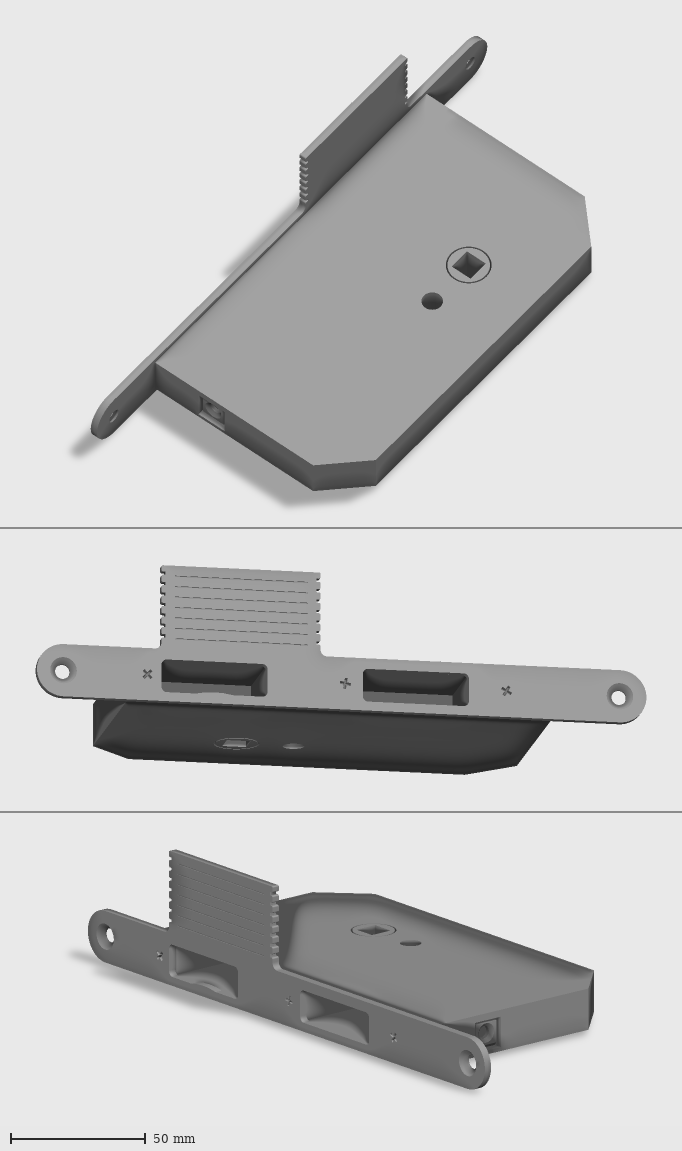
import cadquery as cq
import math


plate_thickness = 3.0
plate_length = 230.0
plate_width = 20.0
mount_hole_y = 105.0
mount_hole_diameter = 5.5
mount_sink_diameter = 10.0

tab_length = 60.0
tab_top_z = 42.0
tab_centre_y = 38.0
tab_root_radius = 2.5
tab_corner_radius = 0.5
groove_count = 7
groove_pitch = 4.0
first_groove_z = 14.0
groove_length = 50.0
groove_width = 0.4
groove_depth = 0.5
first_notch_z = 15.0
notch_width = 1.2
notch_depth = 1.5
notch_lip_radius = 0.6

opening_length = 40.0
opening_height = 12.5
opening_corner_radius = 2.0
opening_centre_z = -0.3
latch_opening_y = 48.0
bolt_opening_y = -28.0
bump_length = 14.0
bump_height = 0.8
pocket_depth = 30.0
latch_pocket_inset = 0.6

case_end_x = 95.0
case_length = 160.0
case_thickness = 16.0
case_centre_y = -0.8
case_chamfer = 16.5

hub_x = 65.0
hub_y = 27.5
hub_hole_diameter = 17.0
hub_diameter = 15.8
hub_square = 9.0
fixing_hole_y = 6.0
fixing_hole_diameter = 8.0

screw_places = [(73.3, 45.0), (-1.4, 10.0), (-62.2, 30.0)]
screw_head_diameter = 8.0
screw_shank_diameter = 4.0
screw_length = 12.0
cross_length = 4.2
cross_width = 1.1
cross_depth = 1.5
cross_taper = 10.0

insert_x = 30.0
insert_z = -0.6
insert_recess_width = 12.5
insert_recess_height = 11.8
insert_recess_depth = 6.0
insert_face_depth = 1.0
insert_base_width = 11.4
insert_base_height = 10.6
insert_boss_side = 9.8
insert_boss_rise = 1.0
insert_boss_z = -0.9
insert_bevel_height = 1.2
insert_bore_diameter = 4.8
insert_sink_diameter = 7.6
insert_bore_depth = 3.0

case_end_y = case_centre_y - case_length / 2
tab_ends = (tab_centre_y - tab_length / 2, tab_centre_y + tab_length / 2)


def face_plane(x):
    """Plane across X with its local x along Y and local y along Z."""
    return cq.Workplane("YZ", origin=(x, 0, 0))


def tapered_plug(y, large_diameter, small_diameter, length):
    """90 degree countersunk shape that starts on the outer face of the faceplate."""
    large = large_diameter / 2
    small = small_diameter / 2
    outline = [(0, 0), (0, large), (large - small, small), (length, small), (length, 0)]
    plug = cq.Workplane("XY").polyline(outline).close().revolve(360, (0, 0, 0), (1, 0, 0))
    return plug.translate((0, y, 0))


def screw_blank(y):
    return tapered_plug(y, screw_head_diameter, screw_shank_diameter, screw_length)


def make_notch(end_y, notch_z):
    """Cutter for one notch in a tab end, with rounded lips at its mouth."""
    inward = math.copysign(1, tab_centre_y - end_y)
    floor_y = end_y + inward * notch_depth
    lip_y = end_y + inward * notch_lip_radius
    half_width = notch_width / 2
    mouth = half_width + notch_lip_radius
    lip_sagitta = notch_lip_radius * (1 - math.sqrt(0.5))
    lip_middle_y = end_y + inward * lip_sagitta
    lip_middle = half_width + lip_sagitta
    return (
        face_plane(0)
        .moveTo(floor_y, notch_z - half_width)
        .lineTo(lip_y, notch_z - half_width)
        .threePointArc((lip_middle_y, notch_z - lip_middle), (end_y, notch_z - mouth))
        .lineTo(end_y, notch_z + mouth)
        .threePointArc((lip_middle_y, notch_z + lip_middle), (lip_y, notch_z + half_width))
        .lineTo(floor_y, notch_z + half_width)
        .close()
        .extrude(plate_thickness)
    )


def make_tab():
    bottom_z = plate_width / 2
    height = tab_top_z - bottom_z
    tab = (
        face_plane(0)
        .center(tab_centre_y, bottom_z + height / 2)
        .rect(tab_length, height)
        .extrude(plate_thickness)
        .edges("|X and >Z")
        .fillet(tab_corner_radius)
    )
    for row in range(groove_count):
        groove_z = first_groove_z + row * groove_pitch
        groove = face_plane(0).center(tab_centre_y, groove_z).rect(groove_length, groove_width)
        tab = tab.cut(groove.extrude(groove_depth))
        notch_z = first_notch_z + row * groove_pitch
        for end_y in tab_ends:
            tab = tab.cut(make_notch(end_y, notch_z))
    return tab


def make_opening(centre_y):
    return (
        face_plane(0)
        .center(centre_y, opening_centre_z)
        .rect(opening_length, opening_height)
        .extrude(plate_thickness)
        .edges("|X")
        .fillet(opening_corner_radius)
    )


def make_latch_bump():
    """Shallow arched rise on the lower edge of the latch opening."""
    edge_z = opening_centre_z - opening_height / 2
    return (
        face_plane(0)
        .moveTo(latch_opening_y - bump_length / 2, edge_z)
        .threePointArc(
            (latch_opening_y, edge_z + bump_height),
            (latch_opening_y + bump_length / 2, edge_z),
        )
        .close()
        .extrude(plate_thickness)
    )


def make_faceplate():
    strip = face_plane(0).slot2D(plate_length, plate_width).extrude(plate_thickness)
    plate = strip.union(make_tab())
    root_z = plate_width / 2
    selector_margin = 0.1
    for end_y in tab_ends:
        root = cq.selectors.BoxSelector(
            (-selector_margin, end_y - selector_margin, root_z - selector_margin),
            (plate_thickness + selector_margin, end_y + selector_margin, root_z + selector_margin),
        )
        plate = plate.edges(root).fillet(tab_root_radius)
    plate = plate.cut(make_opening(latch_opening_y).cut(make_latch_bump()))
    plate = plate.cut(make_opening(bolt_opening_y))
    for y in (-mount_hole_y, mount_hole_y):
        plate = plate.cut(tapered_plug(y, mount_sink_diameter, mount_hole_diameter, plate_thickness))
    for y, _ in screw_places:
        plate = plate.cut(screw_blank(y))
    return plate


def make_pocket(low_y, high_y):
    pocket = face_plane(plate_thickness).center((low_y + high_y) / 2, opening_centre_z)
    return pocket.rect(high_y - low_y, opening_height).extrude(pocket_depth)


def insert_block(width, height, z, start_depth, end_depth):
    """Block sunk between two depths below the -Y end of the case."""
    block = cq.Workplane("XY").box(width, end_depth - start_depth, height)
    return block.translate((insert_x, case_end_y + (start_depth + end_depth) / 2, z))


def make_case():
    case_depth = case_end_x - plate_thickness
    case = (
        cq.Workplane("XY")
        .box(case_depth, case_length, case_thickness)
        .translate((plate_thickness + case_depth / 2, case_centre_y, 0))
        .edges("|Z and >X")
        .chamfer(case_chamfer)
    )
    half = opening_length / 2
    case = case.cut(make_pocket(latch_opening_y - half, latch_opening_y + half - latch_pocket_inset))
    case = case.cut(make_pocket(bolt_opening_y - half, bolt_opening_y + half))
    for y, diameter in ((hub_y, hub_hole_diameter), (fixing_hole_y, fixing_hole_diameter)):
        hole = cq.Workplane("XY").center(hub_x, y).circle(diameter / 2)
        case = case.cut(hole.extrude(case_thickness / 2, both=True))
    case = case.cut(
        insert_block(insert_recess_width, insert_recess_height, insert_z, 0, insert_recess_depth)
    )
    for y, _ in screw_places:
        case = case.cut(screw_blank(y))
    return case


def make_hub():
    return (
        cq.Workplane("XY")
        .center(hub_x, hub_y)
        .circle(hub_diameter / 2)
        .rect(hub_square, hub_square)
        .extrude(case_thickness / 2, both=True)
    )


def make_screw(y, cross_angle):
    screw = screw_blank(y)
    for arm_angle in (cross_angle, cross_angle + 90):
        arm = (
            face_plane(0)
            .center(y, 0)
            .transformed(rotate=(0, 0, arm_angle))
            .rect(cross_length, cross_width)
            .extrude(cross_depth, taper=cross_taper)
        )
        screw = screw.cut(arm)
    return screw


def make_insert():
    """Block with a smaller boss in front, bevelled underneath and bored in the middle."""
    boss_base_depth = insert_face_depth + insert_boss_rise
    base = insert_block(
        insert_base_width, insert_base_height, insert_z, boss_base_depth, insert_recess_depth
    )
    face_y = case_end_y + insert_face_depth
    top_z = insert_boss_z + insert_boss_side / 2
    bottom_z = insert_boss_z - insert_boss_side / 2
    boss = (
        face_plane(insert_x)
        .moveTo(face_y, top_z)
        .lineTo(face_y, bottom_z + insert_bevel_height)
        .lineTo(face_y + insert_boss_rise, bottom_z)
        .lineTo(face_y + insert_boss_rise, top_z)
        .close()
        .extrude(insert_boss_side / 2, both=True)
    )
    sink_depth = (insert_sink_diameter - insert_bore_diameter) / 2
    bore = (
        cq.Workplane("XZ", origin=(insert_x, face_y, 0))
        .circle(insert_sink_diameter / 2)
        .workplane(offset=-sink_depth)
        .circle(insert_bore_diameter / 2)
        .loft()
        .faces(">Y")
        .workplane()
        .circle(insert_bore_diameter / 2)
        .extrude(insert_bore_depth - sink_depth)
    )
    return base.union(boss).cut(bore)


faceplate = make_faceplate()
case = make_case()
hub = make_hub()
insert = make_insert()
screws = [make_screw(y, angle) for y, angle in screw_places]

result = cq.Compound.makeCompound(
    [faceplate.val(), case.val(), hub.val(), insert.val(), *[screw.val() for screw in screws]]
)